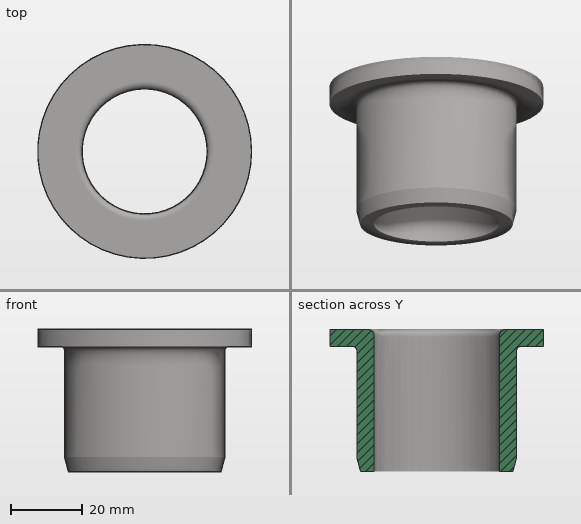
import cadquery as cq
import math

flange_diameter = 60.0
flange_thickness = 5.0
total_height = 40.0
sleeve_diameter = 45.0
bore_diameter = 35.0
bore_rim_radius = 2.0
neck_fillet_radius = 1.0
lead_in_height = 4.0
lead_in_angle = 15.0

flange_radius = flange_diameter / 2
sleeve_radius = sleeve_diameter / 2
bore_radius = bore_diameter / 2
flange_bottom = total_height - flange_thickness
lead_in_inset = lead_in_height * math.tan(math.radians(lead_in_angle))
arc_midpoint_offset = 1 - math.sqrt(0.5)

section = (
    cq.Workplane("XZ")
    .moveTo(bore_radius, 0)
    .lineTo(sleeve_radius - lead_in_inset, 0)
    .lineTo(sleeve_radius, lead_in_height)
    .lineTo(sleeve_radius, flange_bottom - neck_fillet_radius)
    .threePointArc(
        (
            sleeve_radius + neck_fillet_radius * arc_midpoint_offset,
            flange_bottom - neck_fillet_radius * arc_midpoint_offset,
        ),
        (sleeve_radius + neck_fillet_radius, flange_bottom),
    )
    .lineTo(flange_radius, flange_bottom)
    .lineTo(flange_radius, total_height)
    .lineTo(bore_radius + bore_rim_radius, total_height)
    .threePointArc(
        (
            bore_radius + bore_rim_radius * arc_midpoint_offset,
            total_height - bore_rim_radius * arc_midpoint_offset,
        ),
        (bore_radius, total_height - bore_rim_radius),
    )
    .close()
)

result = section.revolve(360, (0, 0, 0), (0, 1, 0))